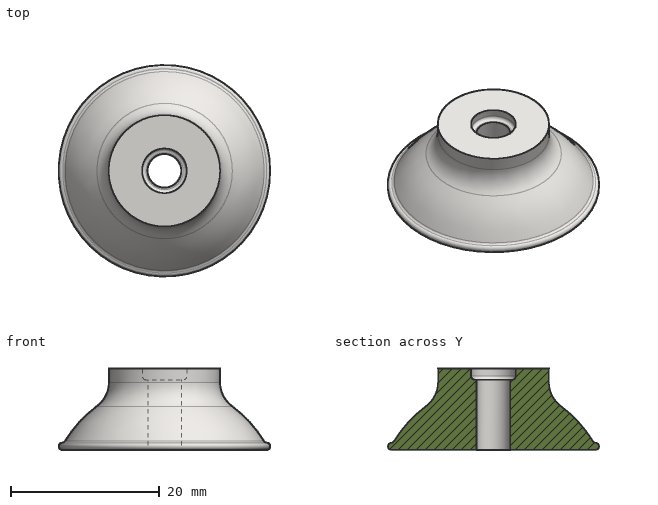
import cadquery as cq
import math

outer_diameter = 28.5
height = 11.0

neck_diameter = 15.0
neck_bottom_z = 9.15
sweep_radius = 4.02
sweep_bottom_z = 5.93

skirt_bottom_radius = 13.4
skirt_bottom_z = 1.25
rim_thickness = 1.03

bore_diameter = 4.5
counterbore_diameter = 6.0
counterbore_depth = 1.5
counterbore_floor_fillet = 0.5

neck_radius = neck_diameter / 2
rim_radius = rim_thickness / 2
outer_radius = outer_diameter / 2
rim_center_radius = outer_radius - rim_radius
sweep_angle = math.asin((neck_bottom_z - sweep_bottom_z) / sweep_radius)
sweep_bottom_radius = neck_radius + sweep_radius * (1 - math.cos(sweep_angle))
sweep_middle = (
    neck_radius + sweep_radius * (1 - math.cos(sweep_angle / 2)),
    neck_bottom_z - sweep_radius * math.sin(sweep_angle / 2),
)


def make_body():
    """Revolve the half profile; the skirt arc continues tangent to the neck sweep."""
    profile = (
        cq.Workplane("XZ")
        .lineTo(0, height)
        .lineTo(neck_radius, height)
        .lineTo(neck_radius, neck_bottom_z)
        .threePointArc(sweep_middle, (sweep_bottom_radius, sweep_bottom_z))
        .tangentArcPoint((skirt_bottom_radius, skirt_bottom_z), relative=False)
        .tangentArcPoint((rim_center_radius, rim_thickness), relative=False)
        .threePointArc((outer_radius, rim_radius), (rim_center_radius, 0))
        .close()
    )
    return profile.revolve(360, (0, 0, 0), (0, 1, 0))


def make_hole():
    """Through bore plus a counterbore with a rounded floor corner."""
    bore = cq.Workplane("XY").circle(bore_diameter / 2).extrude(height)
    counterbore = (
        cq.Workplane("XY")
        .workplane(offset=height - counterbore_depth)
        .circle(counterbore_diameter / 2)
        .extrude(counterbore_depth)
        .faces("<Z")
        .edges()
        .fillet(counterbore_floor_fillet)
    )
    return bore.union(counterbore)


result = make_body().cut(make_hole())